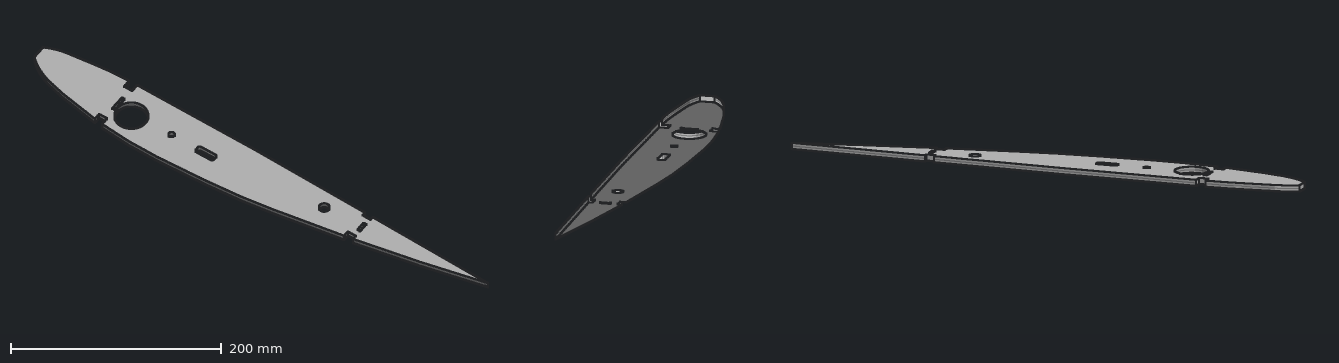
import cadquery as cq

chord = 512.5
thickness = 6.0
cut_height = 3 * thickness

tip = (chord, 20.0)
nose_top = (0.0, 18.5)
nose_bottom = (0.0, 4.0)
upper_surface = [(5.5, 21.0), (15.0, 24.0), (33.5, 26.5), (60.5, 29.5), (116.0, 31.0), (239.5, 29.0), (366.0, 25.0)]
lower_surface = [(367.5, -9.5), (313.0, -18.5), (261.5, -25.5), (211.0, -29.0), (161.0, -31.0),
                 (101.0, -27.5), (60.5, -20.5), (35.5, -15.0), (14.5, -6.5)]

notch_width = 9.0
slot_width = 3.0
front_spar_x = 90.5
front_notch_floors = (22.5, -19.0)
front_slot_ends = (10.0, -6.0)
rear_spar_x = 367.0
rear_notch_floors = (21.0, -3.5)
rear_slot_ends = (14.0, 3.5)
outer_reach = 51.0

round_holes = [
    ((117.0, -3.0), 32.5),
    ((161.5, -0.5), 6.0),
    ((331.5, 8.0), 10.0),
]

window_center = (201.5, -1.0)
window_length = 21.0
window_width = 7.5
window_corner_radius = 2.0


def box_cutter(x_min, x_max, y_min, y_max):
    """Rectangular cutter passing right through the plate."""
    return (
        cq.Workplane("XY")
        .center((x_min + x_max) / 2, (y_min + y_max) / 2)
        .box(x_max - x_min, y_max - y_min, cut_height)
    )


def airfoil_plate():
    return (
        cq.Workplane("XY")
        .moveTo(*nose_top)
        .spline(upper_surface + [tip], includeCurrent=True)
        .spline(lower_surface + [nose_bottom], includeCurrent=True)
        .close()
        .extrude(thickness / 2, both=True)
    )


def spar_cutters(x_start, notch_floors, slot_ends):
    """Upper notch, lower notch and slot sharing the same aft side."""
    x_end = x_start + notch_width
    upper_floor, lower_floor = notch_floors
    slot_top, slot_bottom = slot_ends
    upper_notch = box_cutter(x_start, x_end, upper_floor, outer_reach)
    lower_notch = box_cutter(x_start, x_end, -outer_reach, lower_floor)
    slot = box_cutter(x_end - slot_width, x_end, slot_bottom, slot_top)
    return [upper_notch, lower_notch, slot]


def round_cutter(center, diameter):
    return cq.Workplane("XY").center(*center).circle(diameter / 2).extrude(cut_height / 2, both=True)


def window_cutter():
    return (
        cq.Workplane("XY")
        .center(*window_center)
        .box(window_length, window_width, cut_height)
        .edges("|Z")
        .fillet(window_corner_radius)
    )


cutters = spar_cutters(front_spar_x, front_notch_floors, front_slot_ends)
cutters += spar_cutters(rear_spar_x, rear_notch_floors, rear_slot_ends)
cutters += [round_cutter(center, diameter) for center, diameter in round_holes]
cutters.append(window_cutter())

result = airfoil_plate()
for cutter in cutters:
    result = result.cut(cutter)